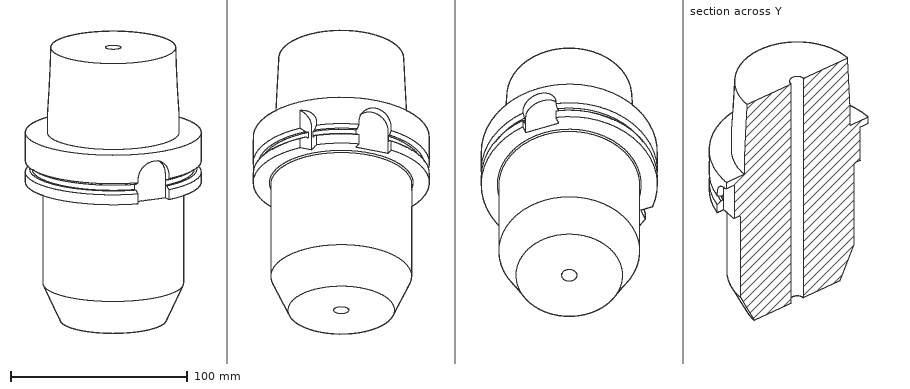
import cadquery as cq

TOTAL_HEIGHT = 160.0
NOSE_HEIGHT = 21.5
FLANGE_BOTTOM = 81.0
FLANGE_TOP = FLANGE_BOTTOM + 29.1
SHANK_TAPER_START = 120.0

NOSE_TIP_RADIUS = 30.2
BODY_RADIUS = 40.0
FLANGE_DIAMETER = 100.0
FLANGE_RADIUS = FLANGE_DIAMETER / 2
SHANK_BASE_RADIUS = 37.5
SHANK_TOP_RADIUS = 35.5
BORE_DIAMETER = 8.6

COLLAR_HEIGHT = 1.0
COLLAR_FLARE = 0.8

GROOVE_CENTER = 90.0
GROOVE_FLOOR_WIDTH = 3.4
GROOVE_MOUTH_WIDTH = 6.5
GROOVE_DEPTH = 4.0
GROOVE_BEVEL_DEPTH = 2.5

SLOT_RADIUS = 10.0
SLOT_ARC_CENTER = 95.2
DRIVE_SLOT_FLOOR = 44.5
SIDE_SLOT_FLOOR = 31.5
SIDE_SLOT_OFFSET = 41.6


def turned_body():
    """Revolve the nose, body, grooved flange and tapered shank."""
    groove_radius = FLANGE_RADIUS - GROOVE_DEPTH
    bevel_radius = FLANGE_RADIUS - GROOVE_BEVEL_DEPTH
    half_floor = GROOVE_FLOOR_WIDTH / 2
    half_mouth = GROOVE_MOUTH_WIDTH / 2
    profile = [
        (0, 0),
        (NOSE_TIP_RADIUS, 0),
        (BODY_RADIUS, NOSE_HEIGHT),
        (BODY_RADIUS, FLANGE_BOTTOM - COLLAR_HEIGHT),
        (BODY_RADIUS + COLLAR_FLARE, FLANGE_BOTTOM),
        (FLANGE_RADIUS, FLANGE_BOTTOM),
        (FLANGE_RADIUS, GROOVE_CENTER - half_mouth),
        (bevel_radius, GROOVE_CENTER - half_floor),
        (groove_radius, GROOVE_CENTER - half_floor),
        (groove_radius, GROOVE_CENTER + half_floor),
        (bevel_radius, GROOVE_CENTER + half_floor),
        (FLANGE_RADIUS, GROOVE_CENTER + half_mouth),
        (FLANGE_RADIUS, FLANGE_TOP),
        (SHANK_BASE_RADIUS, FLANGE_TOP),
        (SHANK_BASE_RADIUS, SHANK_TAPER_START),
        (SHANK_TOP_RADIUS, TOTAL_HEIGHT),
        (0, TOTAL_HEIGHT),
    ]
    return cq.Workplane("XZ").polyline(profile).close().revolve(360, (0, 0), (0, 1))


def slot_cutter(floor_distance, y_center, side):
    """Cutter reaching inward to floor_distance from the axis; side is -1 for -X, +1 for +X."""
    outline = (
        cq.Workplane("YZ", origin=(side * floor_distance, 0, 0))
        .moveTo(y_center - SLOT_RADIUS, FLANGE_BOTTOM)
        .lineTo(y_center - SLOT_RADIUS, SLOT_ARC_CENTER)
        .threePointArc(
            (y_center, SLOT_ARC_CENTER + SLOT_RADIUS),
            (y_center + SLOT_RADIUS, SLOT_ARC_CENTER),
        )
        .lineTo(y_center + SLOT_RADIUS, FLANGE_BOTTOM)
        .close()
    )
    return outline.extrude(side * FLANGE_RADIUS)


result = turned_body()

for slot_side in (-1, 1):
    result = result.cut(slot_cutter(DRIVE_SLOT_FLOOR, 0, slot_side))

result = result.cut(slot_cutter(SIDE_SLOT_FLOOR, SIDE_SLOT_OFFSET, -1))

result = result.faces(">Z").workplane().hole(BORE_DIAMETER)